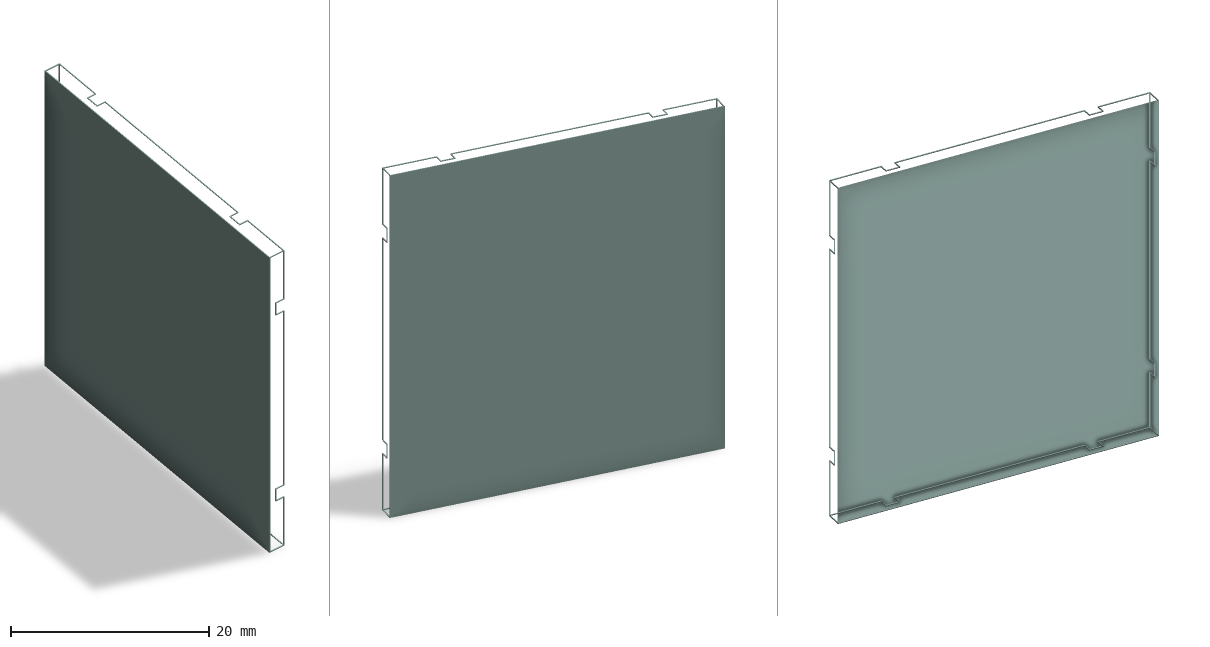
import cadquery as cq

width = 37.0
depth = 1.9
height = 39.0

strip = 0.1

notch_length = 1.5
notch_depth = 1.0
side_notch_offset = 7.2
end_notch_offset = 6.8


def block(x_size, y_size, z_size, x=0, y=0, z=0):
    """Block centred on x and z, with its front face at y."""
    return cq.Workplane("XY").box(x_size, y_size, z_size).translate((x, y + y_size / 2, z))


def end_profile(inset):
    """XY outline of the end walls moved inward by inset, running through the whole height."""
    body = block(width - 2 * inset, depth - 2 * inset, height, y=inset)
    notch = block(notch_length + 2 * inset, depth, height, y=depth - notch_depth - inset)
    notch_x = width / 2 - end_notch_offset
    for x in (-notch_x, notch_x):
        body = body.cut(notch.translate((x, 0, 0)))
    return body


def side_profile(inset):
    """YZ outline of the side walls moved inward by inset, running through the whole width."""
    body = block(width, depth - 2 * inset, height - 2 * inset, y=inset)
    notch = block(width, depth, notch_length + 2 * inset, y=depth - notch_depth - inset)
    notch_z = height / 2 - side_notch_offset
    for z in (-notch_z, notch_z):
        body = body.cut(notch.translate((0, 0, z)))
    return body


cavity = block(width - 2 * strip, depth, height - 2 * strip, y=strip)
tray = end_profile(0).intersect(side_profile(0)).cut(cavity)

result = tray.cut(end_profile(strip)).cut(side_profile(strip))